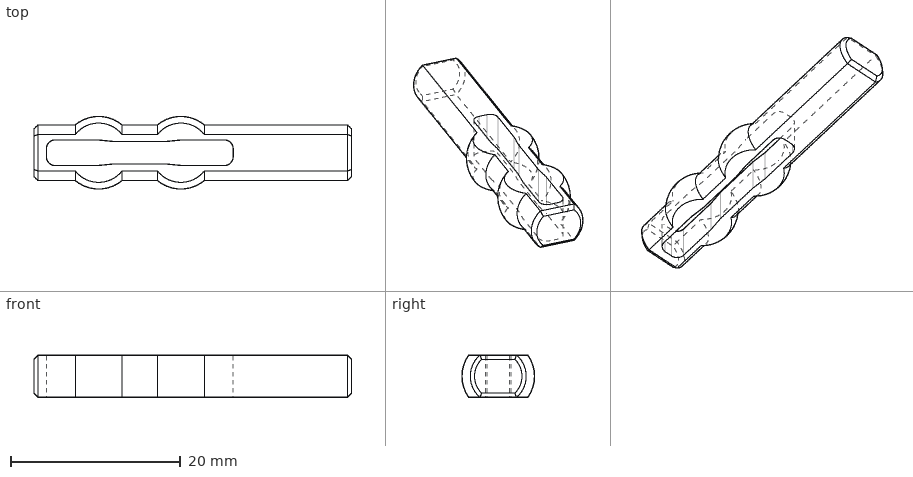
import cadquery as cq

length = 37.5
body_diameter = 6.6
thickness = 5.0
end_chamfer = 0.5

slot_start = 1.5
slot_length = 22.0
slot_width = 3.0
slot_corner_radius = 1.0
slot_waist_width = 2.6
slot_waist_length = 6.0
slot_taper_length = 2.0
slot_center = slot_start + slot_length / 2

bulge_diameter = 8.6
bulge_spacing = 9.7
bulge_centers = [slot_center - bulge_spacing / 2, slot_center + bulge_spacing / 2]


def make_bar():
    """Round bar with flats, chamfered around both end faces."""
    bar = cq.Workplane("YZ").circle(body_diameter / 2).extrude(length)
    flats = cq.Workplane("XY").box(length, body_diameter, thickness, centered=(False, True, True))
    return bar.intersect(flats).faces("<X or >X").chamfer(end_chamfer)


def make_bulge(center_x):
    """Ball on the bar axis, cut level with the top and bottom flats."""
    ball = cq.Workplane("XY").sphere(bulge_diameter / 2)
    flats = cq.Workplane("XY").box(bulge_diameter, bulge_diameter, thickness)
    return ball.intersect(flats).translate((center_x, 0, 0))


def make_slot():
    """Slot cutter with rounded corners and a narrower waist."""
    half_length = slot_length / 2
    half_width = slot_width / 2
    half_waist = slot_waist_width / 2
    waist_end = slot_waist_length / 2
    taper_end = waist_end + slot_taper_length
    outline = [
        (-half_length, half_width),
        (-taper_end, half_width),
        (-waist_end, half_waist),
        (waist_end, half_waist),
        (taper_end, half_width),
        (half_length, half_width),
        (half_length, -half_width),
        (taper_end, -half_width),
        (waist_end, -half_waist),
        (-waist_end, -half_waist),
        (-taper_end, -half_width),
        (-half_length, -half_width),
    ]
    cutter = cq.Workplane("XY").polyline(outline).close().extrude(thickness / 2, both=True)
    cutter = cutter.edges("|Z and (<X or >X)").fillet(slot_corner_radius)
    return cutter.translate((slot_center, 0, 0))


result = make_bar()
for bulge_center in bulge_centers:
    result = result.union(make_bulge(bulge_center))
result = result.cut(make_slot())